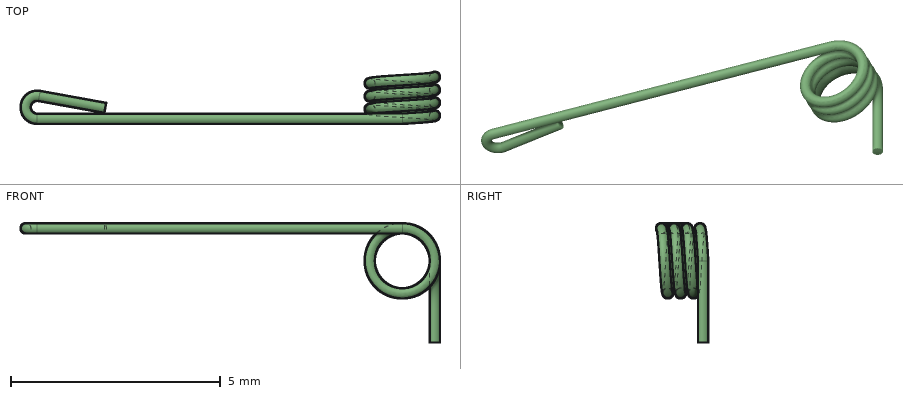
import cadquery as cq
import math

overall_length = 10.0
overall_height = 2.85
wire_diameter = 0.25
coil_outer_diameter = 1.8
coil_turns = 3.25
coil_axial_travel = 1.0
hook_outer_radius = 0.4
hook_tail_length = 1.6
hook_tail_angle = 10.3

wire_radius = wire_diameter / 2
coil_radius = coil_outer_diameter / 2 - wire_radius
coil_pitch = coil_axial_travel / coil_turns
coil_x = overall_length - coil_outer_diameter / 2
hook_radius = hook_outer_radius - wire_radius
hook_x = hook_outer_radius
leg_length = overall_height - coil_outer_diameter / 2


def straight_wire(start, direction, length):
    return cq.Workplane(cq.Solid.makeCylinder(wire_radius, length, cq.Vector(*start), cq.Vector(*direction)))


def hook():
    """Bend of more than half a turn, with a straight tail closing in on the arm."""
    tail_slope = math.radians(hook_tail_angle)
    tail_start = (
        hook_x + hook_radius * math.sin(tail_slope),
        hook_radius + hook_radius * math.cos(tail_slope),
        0,
    )
    tail_direction = (math.cos(tail_slope), -math.sin(tail_slope), 0)
    bend = (
        cq.Workplane("YZ", origin=(hook_x, 0, 0))
        .circle(wire_radius)
        .revolve(180 + hook_tail_angle, (hook_radius, 0), (hook_radius, -1))
    )
    return bend.union(straight_wire(tail_start, tail_direction, hook_tail_length))


def coil():
    """Helix about Y, starting at the top of the coil and first turning towards +X."""
    helix = cq.Wire.makeHelix(coil_pitch, coil_axial_travel, coil_radius)
    coil_plane = cq.Plane(origin=(coil_x, 0, -coil_radius), xDir=(0, 0, 1), normal=(0, 1, 0))
    path = helix.moved(coil_plane.location)
    return (
        cq.Workplane("YZ", origin=(coil_x, 0, 0))
        .circle(wire_radius)
        .sweep(cq.Workplane(path), isFrenet=True)
    )


long_arm = straight_wire((hook_x, 0, 0), (1, 0, 0), coil_x - hook_x)
leg_start = (coil_x + coil_radius, coil_axial_travel, -coil_radius)
leg = straight_wire(leg_start, (0, 0, -1), leg_length)

result = long_arm.union(hook()).union(coil()).union(leg)